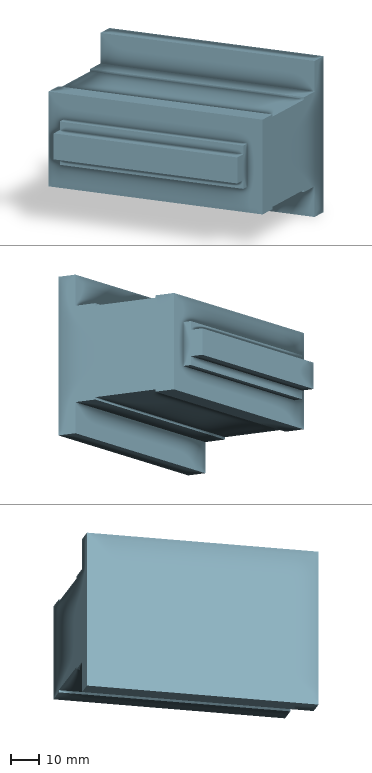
import cadquery as cq

LENGTH = 85.0
DEPTH = 57.1

PLATE_HEIGHT = 57.6
PLATE_THICKNESS = 7.2
CHANNEL_HEIGHT = 32.1
CHANNEL_DEPTH = 1.1

CAP_HEIGHT = 35.0
CORE_HEIGHT = 33.3
REAR_CAP_EXPOSED = 8.4
CORE_THICKNESS = 25.6
FRONT_CAP_THICKNESS = 7.8

RAIL_LENGTH = 72.85
RAIL_FLANGE_HEIGHT = 16.0
RAIL_FLANGE_THICKNESS = 3.2
RAIL_HEAD_HEIGHT = 9.6

BACK_Y = DEPTH / 2
PLATE_FRONT_Y = BACK_Y - PLATE_THICKNESS
CORE_BACK_Y = PLATE_FRONT_Y - REAR_CAP_EXPOSED
CORE_FRONT_Y = CORE_BACK_Y - CORE_THICKNESS
CAP_FRONT_Y = CORE_FRONT_Y - FRONT_CAP_THICKNESS
RAIL_STEP_Y = CAP_FRONT_Y - RAIL_FLANGE_THICKNESS
RAIL_FRONT_Y = -DEPTH / 2


def bar(length, height, back_y, front_y):
    """Rectangular bar centred on X and Z, between two Y positions."""
    thickness = back_y - front_y
    return cq.Workplane("XY").box(length, thickness, height).translate((0, front_y + thickness / 2, 0))


def make_channel_fill():
    """The volume of the plate channel, also the shape of the rear cap's tongue."""
    return bar(LENGTH, CHANNEL_HEIGHT, PLATE_FRONT_Y + CHANNEL_DEPTH, PLATE_FRONT_Y)


def make_back_plate():
    return bar(LENGTH, PLATE_HEIGHT, BACK_Y, PLATE_FRONT_Y).cut(make_channel_fill())


def make_rear_cap():
    return bar(LENGTH, CAP_HEIGHT, PLATE_FRONT_Y, CORE_BACK_Y).union(make_channel_fill())


def make_core():
    return bar(LENGTH, CORE_HEIGHT, CORE_BACK_Y, CORE_FRONT_Y)


def make_front_cap():
    return bar(LENGTH, CAP_HEIGHT, CORE_FRONT_Y, CAP_FRONT_Y)


def make_rail():
    flange = bar(RAIL_LENGTH, RAIL_FLANGE_HEIGHT, CAP_FRONT_Y, RAIL_STEP_Y)
    head = bar(RAIL_LENGTH, RAIL_HEAD_HEIGHT, RAIL_STEP_Y, RAIL_FRONT_Y)
    return flange.union(head)


back_plate = make_back_plate()
rear_cap = make_rear_cap()
core = make_core()
front_cap = make_front_cap()
rail = make_rail()

result = cq.Compound.makeCompound([
    back_plate.val(),
    rear_cap.val(),
    core.val(),
    front_cap.val(),
    rail.val(),
])